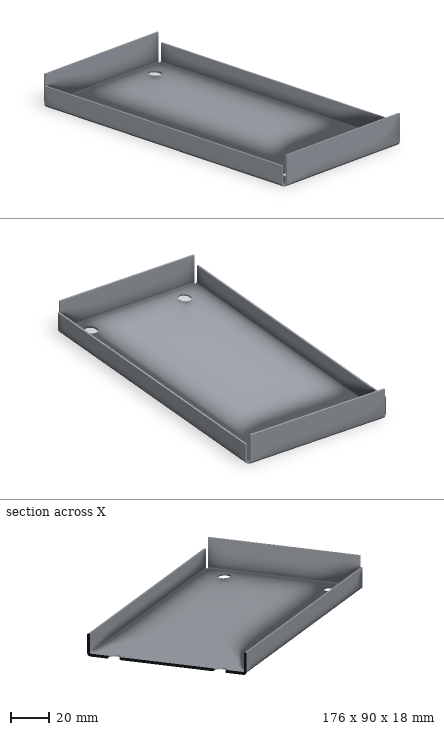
import cadquery as cq
import math

length = 176.0
width = 90.0
end_flange_height = 18.0
side_flange_height = 12.0

thickness = 1.0
inner_bend_radius = 0.9
outer_bend_radius = thickness + inner_bend_radius

hole_length = 8.1
hole_width = 6.9
hole_spacing_x = 154.4
hole_spacing_y = 60.0

floor_length = length - 2 * outer_bend_radius
floor_width = width - 2 * outer_bend_radius


def bent_flange(floor_edge, height, depth):
    """Bend and upright flange on the +X side, starting at x = floor_edge."""
    outer_face = floor_edge + outer_bend_radius
    inner_face = floor_edge + inner_bend_radius
    outer_offset = outer_bend_radius * math.sqrt(0.5)
    inner_offset = inner_bend_radius * math.sqrt(0.5)
    bend_center_z = outer_bend_radius
    return (
        cq.Workplane("XZ")
        .moveTo(floor_edge, 0)
        .threePointArc(
            (floor_edge + outer_offset, bend_center_z - outer_offset),
            (outer_face, bend_center_z),
        )
        .lineTo(outer_face, height)
        .lineTo(inner_face, height)
        .lineTo(inner_face, bend_center_z)
        .threePointArc(
            (floor_edge + inner_offset, bend_center_z - inner_offset),
            (floor_edge, thickness),
        )
        .close()
        .extrude(depth / 2, both=True)
    )


result = cq.Workplane("XY").box(floor_length, floor_width, thickness, centered=(True, True, False))

end_flange = bent_flange(floor_length / 2, end_flange_height, floor_width)
side_flange = bent_flange(floor_width / 2, side_flange_height, floor_length)
for turn in (0, 180):
    result = result.union(end_flange.rotate((0, 0, 0), (0, 0, 1), turn))
    result = result.union(side_flange.rotate((0, 0, 0), (0, 0, 1), turn + 90))

holes = (
    cq.Workplane("XY")
    .rarray(hole_spacing_x, hole_spacing_y, 2, 2)
    .ellipse(hole_length / 2, hole_width / 2)
    .extrude(thickness)
)
result = result.cut(holes)